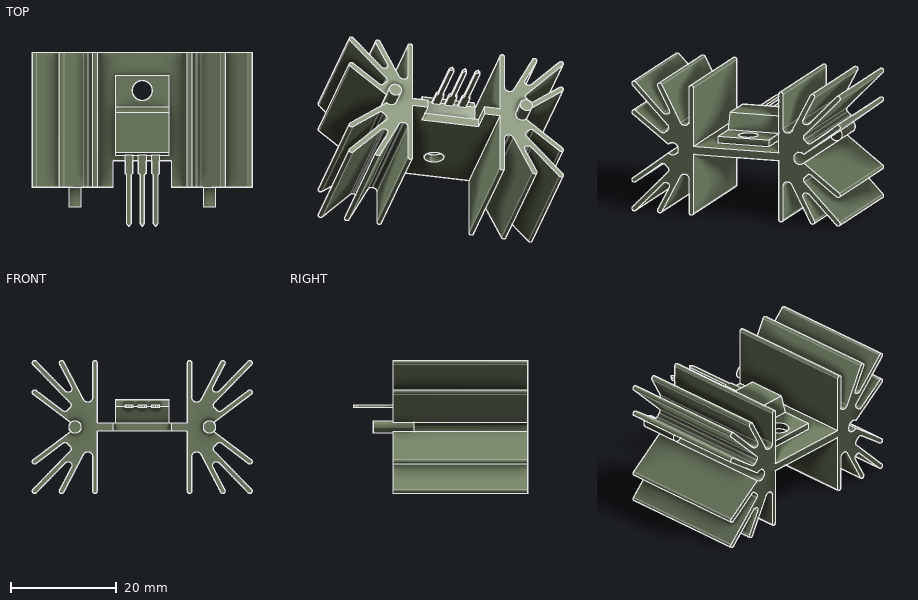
import cadquery as cq
import math

sink_length = 25.5
sink_width = 41.6
sink_height = 25.13
web_thickness = 1.55
channel_width = 17.0
fin_thickness = 0.92
wall_fin_thickness = 0.88
wall_groove_fillet = 0.8
slanted_groove_fillet = 0.6

notch_width = 11.0
notch_depth = 5.0

pin_diameter = 2.35
pin_spacing = 25.4
pin_insertion = 4.0
pin_projection = 3.77

package_width = 10.13
package_back = sink_length - 4.36
package_front = sink_length - 19.53
package_height = 4.42
parting_height = 3.14
tab_thickness = 1.27
front_setback_top = 0.56
front_setback_bottom = 0.45
mould_back_bottom = sink_length - 10.38
mould_back_top = sink_length - 11.40
hole_diameter = 3.73
hole_y = sink_length - 7.22

total_length = 32.95
lead_pitch = 2.52
lead_thickness = 0.55
lead_tip_y = sink_length - total_length
lead_point_y = lead_tip_y + 0.61
shoulder_y = sink_length - 22.86
neck_y = shoulder_y - 0.29
outer_lead_widths = (1.47, 0.92)
middle_lead_widths = (1.59, 0.78)

web_top = web_thickness / 2
fin_radius = fin_thickness / 2
wall_x = -(channel_width + wall_fin_thickness) / 2
tip_x = -sink_width / 2 + fin_radius
tip_z = sink_height / 2 - fin_radius

wall_fin = ((wall_x, 0), (wall_x, (sink_height - wall_fin_thickness) / 2))
steep_fin = ((-11.0, 4.0), (-15.22, tip_z))
diagonal_fin = ((-12.4, 3.95), (tip_x, tip_z))
shallow_fin = ((-12.1, 0.35), (tip_x, 6.55))
slanted_fins = [steep_fin, diagonal_fin, shallow_fin]

wall_floor = ((wall_x, 4.75), (-11.42, 4.75))
upper_floor = ((-12.42, 6.63), (-15.0, 6.63))
lower_floor = ((-12.95, 4.36), (-14.95, 2.36))
floor_fillets = [
    (wall_floor, wall_groove_fillet),
    (upper_floor, slanted_groove_fillet),
    (lower_floor, slanted_groove_fillet),
]
hub_apex = (-12.37, 0)
position_tolerance = 1e-4


def fin(root, tip, thickness):
    """Straight fin with fully rounded ends."""
    dx = tip[0] - root[0]
    dz = tip[1] - root[1]
    middle = ((root[0] + tip[0]) / 2, (root[1] + tip[1]) / 2)
    length = math.hypot(dx, dz) + thickness
    angle = math.degrees(math.atan2(dz, dx))
    return (
        cq.Workplane("XZ")
        .center(*middle)
        .slot2D(length, thickness, angle)
        .extrude(-sink_length)
    )


def lies_on_floor(edge, floor):
    """True for an edge along Y whose X, Z position is on the groove floor."""
    start, end = floor
    center = edge.Center()
    point = (center.x, center.z)
    detour = math.dist(start, point) + math.dist(point, end) - math.dist(start, end)
    return detour < position_tolerance


def make_fin_quarter():
    """Left upper fins on their hub, with the corners of the groove floors rounded."""
    outline = [(wall_x, 0)]
    for floor, _ in floor_fillets:
        outline.extend(floor)
    outline.append(hub_apex)
    quarter = cq.Workplane("XZ").polyline(outline).close().extrude(-sink_length)
    quarter = quarter.union(fin(*wall_fin, wall_fin_thickness))
    for root, tip in slanted_fins:
        quarter = quarter.union(fin(root, tip, fin_thickness))
    for floor, radius in floor_fillets:
        corners = quarter.edges("|Y").filter(lambda edge: lies_on_floor(edge, floor))
        quarter = corners.fillet(radius)
    return quarter


def cylinder_along_y(diameter, x, y_start, y_end):
    return (
        cq.Workplane("XZ", origin=(x, y_start, 0))
        .circle(diameter / 2)
        .extrude(y_start - y_end)
    )


def make_heatsink():
    quarter = make_fin_quarter()
    left = quarter.union(quarter.mirror("XY"))
    sink = left.union(left.mirror("YZ"))
    web = cq.Workplane("XY").box(
        -2 * wall_x, sink_length, web_thickness, centered=(True, False, True)
    )
    notch = cq.Workplane("XY").box(
        notch_width, notch_depth, web_thickness, centered=(True, False, True)
    )
    hole = (
        cq.Workplane("XY", origin=(0, hole_y, -web_top))
        .circle(hole_diameter / 2)
        .extrude(web_thickness)
    )
    sink = sink.union(web).cut(notch).cut(hole)
    for x in (-pin_spacing / 2, pin_spacing / 2):
        sink = sink.cut(cylinder_along_y(pin_diameter, x, 0, sink_length))
        sink = sink.union(cylinder_along_y(pin_diameter, x, -pin_projection, pin_insertion))
    return sink


def make_lead(x, widths):
    """Flat lead that narrows at its shoulder and ends in a point."""
    wide = widths[0] / 2
    narrow = widths[1] / 2
    lead_root_y = package_front + front_setback_bottom
    right_side = [
        (wide, lead_root_y),
        (wide, shoulder_y),
        (narrow, neck_y),
        (narrow, lead_point_y),
    ]
    left_side = [(-half_width, y) for half_width, y in reversed(right_side)]
    return (
        cq.Workplane("XY", origin=(x, 0, web_top + parting_height - lead_thickness / 2))
        .polyline(right_side + [(0, lead_tip_y)] + left_side)
        .close()
        .extrude(lead_thickness)
    )


def make_transistor():
    side_profile = [
        (package_back, 0),
        (package_back, tab_thickness),
        (mould_back_bottom, tab_thickness),
        (mould_back_top, package_height),
        (package_front + front_setback_top, package_height),
        (package_front, parting_height),
        (package_front + front_setback_bottom, 0),
    ]
    package = (
        cq.Workplane("YZ", origin=(-package_width / 2, 0, web_top))
        .polyline(side_profile)
        .close()
        .extrude(package_width)
    )
    hole = (
        cq.Workplane("XY", origin=(0, hole_y, web_top))
        .circle(hole_diameter / 2)
        .extrude(tab_thickness)
    )
    package = package.cut(hole)
    package = package.union(make_lead(0, middle_lead_widths))
    for x in (-lead_pitch, lead_pitch):
        package = package.union(make_lead(x, outer_lead_widths))
    return package


heatsink = make_heatsink()
transistor = make_transistor()

result = cq.Compound.makeCompound([heatsink.val(), transistor.val()])